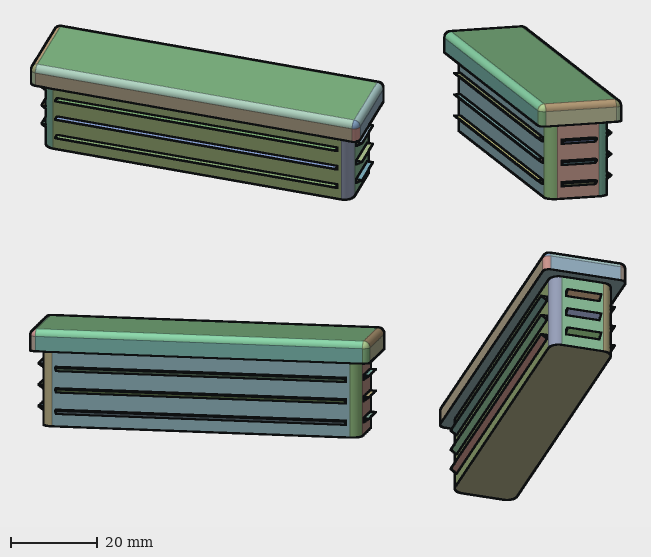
import cadquery as cq

cap_length = 80.0
cap_width = 20.0
cap_height = 5.0
cap_rounding = 1.5

cap_overhang = 2.5
plug_length = cap_length - 2 * cap_overhang
plug_width = cap_width - 2 * cap_overhang
plug_height = 18.0
plug_corner_radius = 2.5

barb_count = 3
barb_reach = 1.4
barb_height = 1.0
barb_pitch = 5.0
lowest_barb_top = 4.0
barb_end_margin = 3.4
barb_root = 0.4


def make_cap():
    """Cap resting on the plug, rounded on its upright and top edges."""
    cap = cq.Workplane("XY").workplane(offset=plug_height)
    cap = cap.rect(cap_length, cap_width).extrude(cap_height)
    return cap.edges("|Z or >Z").fillet(cap_rounding)


def make_plug():
    """Solid plug with rounded upright corners, standing on Z = 0."""
    plug = cq.Workplane("XY").rect(plug_length, plug_width).extrude(plug_height)
    return plug.edges("|Z").fillet(plug_corner_radius)


def make_barb(face_distance, length, top):
    """Barb along Y, pointing to +X from a face at the given distance."""
    profile = [
        (face_distance - barb_root, top),
        (face_distance + barb_reach, top),
        (face_distance, top - barb_height),
        (face_distance - barb_root, top - barb_height),
    ]
    return cq.Workplane("XZ").polyline(profile).close().extrude(length / 2, both=True)


result = make_plug().union(make_cap())

end_barb_length = plug_width - 2 * barb_end_margin
side_barb_length = plug_length - 2 * barb_end_margin
for level in range(barb_count):
    barb_top = lowest_barb_top + level * barb_pitch
    end_barb = make_barb(plug_length / 2, end_barb_length, barb_top)
    side_barb = make_barb(plug_width / 2, side_barb_length, barb_top)
    for turn in (0, 180):
        result = result.union(end_barb.rotate((0, 0, 0), (0, 0, 1), turn))
        result = result.union(side_barb.rotate((0, 0, 0), (0, 0, 1), turn + 90))